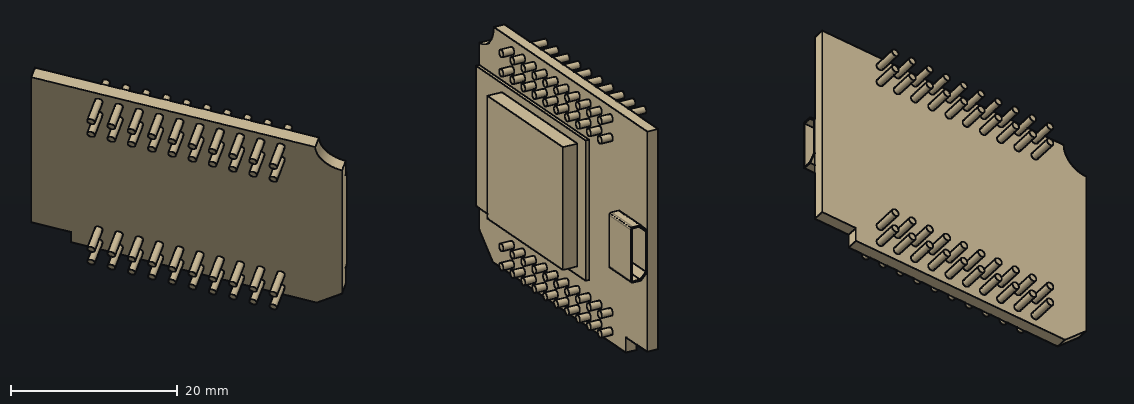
import cadquery as cq
import math

BOARD_LENGTH = 39.0
BOARD_HEIGHT = 31.0
BOARD_THICKNESS = 1.52
NOTCH_LENGTH = 5.0
NOTCH_HEIGHT = 2.03
BEVEL_LENGTH = 3.15
BEVEL_HEIGHT = 3.05
SCALLOP_RADIUS = 3.35

PINS_PER_ROW = 10
PIN_DIAMETER = 0.98
PIN_ROW_LENGTH = 22.85
PIN_PITCH = PIN_ROW_LENGTH / (PINS_PER_ROW - 1)
FIRST_PIN_X = 8.5
PIN_EDGE_MARGIN = 1.5
PIN_FRONT_REACH = 3.2
PIN_REAR_REACH = 1.52

CARRIER_LENGTH = 25.5
CARRIER_HEIGHT = 18.45
CARRIER_THICKNESS = 0.45
CAN_START_X = 15.45
CAN_LENGTH = 17.5
CAN_HEIGHT = 16.15
CAN_THICKNESS = 2.03
MODULE_CENTRE_Z = BOARD_HEIGHT / 2

CONNECTOR_LENGTH = 5.0
CONNECTOR_HEIGHT = 7.35
CONNECTOR_THICKNESS = 2.3
CONNECTOR_DROP = 0.25
CONNECTOR_CENTRE_Z = MODULE_CENTRE_Z - CONNECTOR_DROP
CONNECTOR_BEVEL = 0.95
CONNECTOR_CORNER_RADIUS = 0.3
CONNECTOR_WALL = 0.2
POCKET_BEVEL = CONNECTOR_BEVEL - CONNECTOR_WALL * (2 - math.sqrt(2))


def rear_block(start_x, length, height, start_y, thickness):
    """Plain block behind the board, centred on the module's height."""
    return cq.Workplane("XY").box(length, thickness, height, centered=(False, False, True)).translate(
        (start_x, start_y, MODULE_CENTRE_Z)
    )


def make_plate():
    """Board outline with a corner notch, a bevelled corner and a concave round corner."""
    scallop = (
        cq.Workplane("XZ")
        .center(BOARD_LENGTH, BOARD_HEIGHT)
        .circle(SCALLOP_RADIUS)
        .extrude(BOARD_THICKNESS)
    )
    return (
        cq.Workplane("XZ")
        .moveTo(0, NOTCH_HEIGHT)
        .lineTo(NOTCH_LENGTH, NOTCH_HEIGHT)
        .lineTo(NOTCH_LENGTH, 0)
        .lineTo(BOARD_LENGTH - BEVEL_LENGTH, 0)
        .lineTo(BOARD_LENGTH, BEVEL_HEIGHT)
        .lineTo(BOARD_LENGTH, BOARD_HEIGHT)
        .lineTo(0, BOARD_HEIGHT)
        .close()
        .extrude(BOARD_THICKNESS)
        .cut(scallop)
    )


def make_pins():
    """All header pins, each passing through the board along Y."""
    low_row = PIN_EDGE_MARGIN
    high_row = BOARD_HEIGHT - PIN_EDGE_MARGIN
    row_heights = [low_row, low_row + PIN_PITCH, high_row - PIN_PITCH, high_row]
    centres = [
        (FIRST_PIN_X + column * PIN_PITCH, height)
        for height in row_heights
        for column in range(PINS_PER_ROW)
    ]
    return (
        cq.Workplane("XZ", origin=(0, PIN_REAR_REACH, 0))
        .pushPoints(centres)
        .circle(PIN_DIAMETER / 2)
        .extrude(PIN_REAR_REACH + BOARD_THICKNESS + PIN_FRONT_REACH)
    )


def make_board():
    """Board with its pins and radio module as one solid."""
    carrier_start_x = BOARD_LENGTH - CARRIER_LENGTH
    carrier = rear_block(carrier_start_x, CARRIER_LENGTH, CARRIER_HEIGHT, 0, CARRIER_THICKNESS)
    can = rear_block(CAN_START_X, CAN_LENGTH, CAN_HEIGHT, CARRIER_THICKNESS, CAN_THICKNESS)
    return make_plate().union(carrier).union(can).union(make_pins())


def connector_block(length, height, thickness, bevel):
    """Block along X, centred on z = 0, with its two edges next to the board bevelled."""
    return (
        cq.Workplane("XY")
        .box(length, thickness, height, centered=(False, False, True))
        .edges("|X and <Y")
        .chamfer(bevel)
    )


def make_connector():
    """Connector shell with rounded rear edges and a pocket that leaves an even wall."""
    outer = (
        connector_block(CONNECTOR_LENGTH, CONNECTOR_HEIGHT, CONNECTOR_THICKNESS, CONNECTOR_BEVEL)
        .edges("|X and >Y")
        .fillet(CONNECTOR_CORNER_RADIUS)
    )
    pocket = connector_block(
        CONNECTOR_LENGTH - CONNECTOR_WALL,
        CONNECTOR_HEIGHT - 2 * CONNECTOR_WALL,
        CONNECTOR_THICKNESS - 2 * CONNECTOR_WALL,
        POCKET_BEVEL,
    ).translate((0, CONNECTOR_WALL, 0))
    return outer.cut(pocket).translate((0, 0, CONNECTOR_CENTRE_Z))


board = make_board()
connector = make_connector()

result = cq.Compound.makeCompound([board.val(), connector.val()])